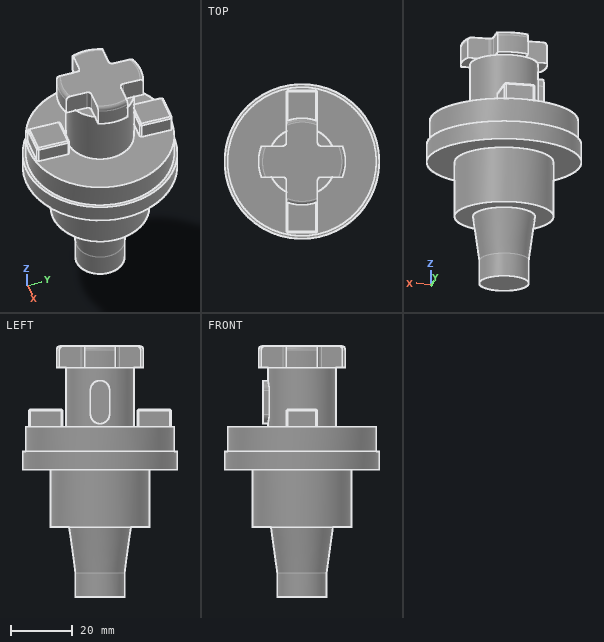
import cadquery as cq

TAIL_DIA = 16.0
TAIL_LENGTH = 7.8
CONE_TOP_DIA = 20.1
CONE_LENGTH = 14.8
SHANK_DIA = 32.0
SHANK_LENGTH = 18.4
FLANGE_DIA = 50.0
FLANGE_HEIGHT = 6.0
COLLAR_DIA = 48.0
COLLAR_HEIGHT = 8.0
ARBOR_DIA = 22.0
ARBOR_LENGTH = 19.0

HEAD_DIA = 28.0
HEAD_HEIGHT = 7.0
HEAD_ARM_WIDTH = 10.0
HEAD_RIM_FILLET = 1.2
HEAD_INNER_FILLET = 1.2

DOG_WIDTH = 10.0
DOG_INNER_Y = 12.0
DOG_OUTER_Y = 23.0
DOG_HEIGHT = 5.6
DOG_CHAMFER = 0.5

KEY_WIDTH = 6.2
KEY_LENGTH = 13.9
KEY_OUTER_X = 12.6
KEY_CENTER_ABOVE_COLLAR = 7.9

cone_base_z = TAIL_LENGTH
shank_base_z = cone_base_z + CONE_LENGTH
flange_base_z = shank_base_z + SHANK_LENGTH
collar_base_z = flange_base_z + FLANGE_HEIGHT
collar_top_z = collar_base_z + COLLAR_HEIGHT
head_base_z = collar_top_z + ARBOR_LENGTH


def make_body():
    """Revolved profile of tail, cone, shank, flange, collar and arbor."""
    profile = [
        (0, 0),
        (TAIL_DIA / 2, 0),
        (TAIL_DIA / 2, cone_base_z),
        (CONE_TOP_DIA / 2, shank_base_z),
        (SHANK_DIA / 2, shank_base_z),
        (SHANK_DIA / 2, flange_base_z),
        (FLANGE_DIA / 2, flange_base_z),
        (FLANGE_DIA / 2, collar_base_z),
        (COLLAR_DIA / 2, collar_base_z),
        (COLLAR_DIA / 2, collar_top_z),
        (ARBOR_DIA / 2, collar_top_z),
        (ARBOR_DIA / 2, head_base_z),
        (0, head_base_z),
    ]
    return cq.Workplane("XZ").polyline(profile).close().revolve(360, (0, 0), (0, 1))


def make_head():
    """Disc with a rounded top rim, trimmed to a cross with rounded inner corners."""
    base = cq.Workplane("XY").workplane(offset=head_base_z)
    disc = base.circle(HEAD_DIA / 2).extrude(HEAD_HEIGHT).faces(">Z").edges().fillet(HEAD_RIM_FILLET)
    arm_x = base.rect(HEAD_DIA, HEAD_ARM_WIDTH).extrude(HEAD_HEIGHT)
    arm_y = base.rect(HEAD_ARM_WIDTH, HEAD_DIA).extrude(HEAD_HEIGHT)
    inner_corners = cq.selectors.BoxSelector(
        (-HEAD_ARM_WIDTH, -HEAD_ARM_WIDTH, head_base_z),
        (HEAD_ARM_WIDTH, HEAD_ARM_WIDTH, head_base_z + HEAD_HEIGHT),
    )
    cross = arm_x.union(arm_y).edges("|Z").edges(inner_corners).fillet(HEAD_INNER_FILLET)
    return disc.intersect(cross)


def make_dog(side):
    """Chamfered block on the collar face; side is +1 for +Y and -1 for -Y."""
    dog_length = DOG_OUTER_Y - DOG_INNER_Y
    center_y = side * (DOG_INNER_Y + DOG_OUTER_Y) / 2
    return (
        cq.Workplane("XY", origin=(0, center_y, collar_top_z))
        .rect(DOG_WIDTH, dog_length)
        .extrude(DOG_HEIGHT)
        .edges("|Z or >Z")
        .chamfer(DOG_CHAMFER)
    )


def make_key():
    """Upright slot-shaped key running from the arbor axis out to -X."""
    return (
        cq.Workplane("YZ", origin=(0, 0, collar_top_z + KEY_CENTER_ABOVE_COLLAR))
        .slot2D(KEY_LENGTH, KEY_WIDTH, 90)
        .extrude(-KEY_OUTER_X)
    )


result = make_body().union(make_head()).union(make_key())
for dog_side in (1, -1):
    result = result.union(make_dog(dog_side))